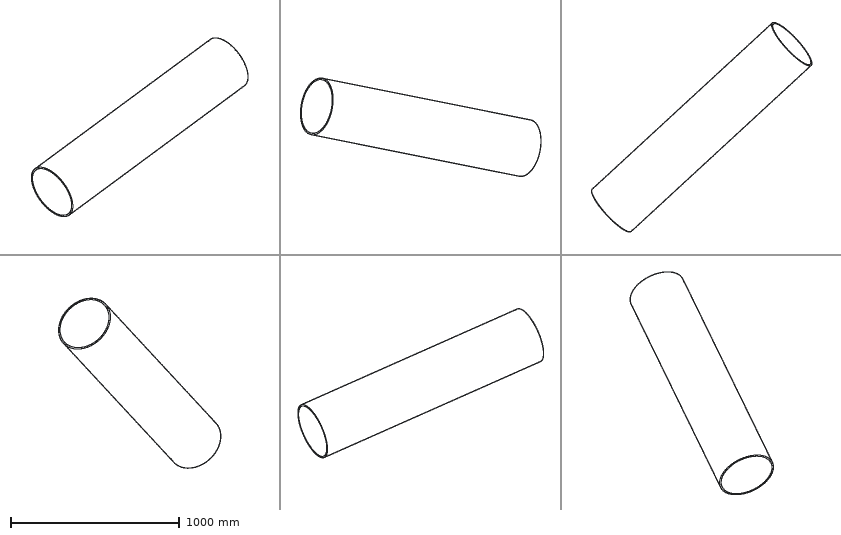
import cadquery as cq

outer_diameter = 342.9
wall_thickness = 9.85
length = 1500.0

outer_radius = outer_diameter / 2
inner_radius = outer_radius - wall_thickness

end_plane = cq.Workplane("XZ", origin=(0, length / 2, 0))

result = end_plane.circle(outer_radius).circle(inner_radius).extrude(length)